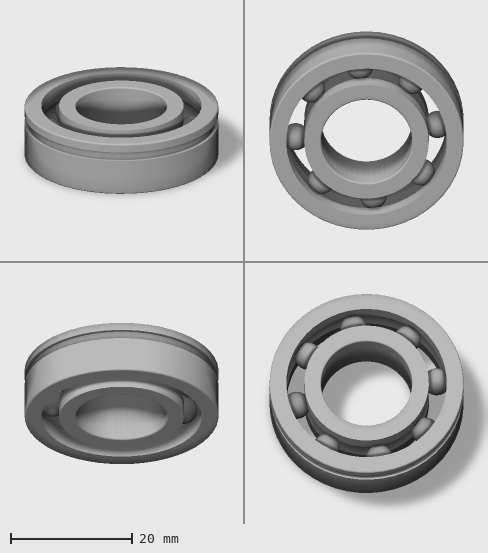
import cadquery as cq

outer_diameter = 32.0
outer_ring_bore = 26.45
inner_ring_diameter = 20.55
bore_diameter = 15.0
width = 9.0
edge_radius = 0.3

snap_groove_diameter = 30.9
snap_groove_width = 1.55
snap_groove_depth_from_top = 1.47

ball_count = 8
ball_diameter = 4.48
ball_radius = ball_diameter / 2
pitch_radius = (outer_ring_bore + inner_ring_diameter) / 4


def make_ring(outside, inside, height):
    """Plain ring centred on the origin."""
    return (
        cq.Workplane("XY", origin=(0, 0, -height / 2))
        .circle(outside / 2)
        .circle(inside / 2)
        .extrude(height)
    )


def make_raceway():
    """Torus swept by the balls; it cuts the raceway into each ring."""
    return (
        cq.Workplane("XZ")
        .center(pitch_radius, 0)
        .circle(ball_radius)
        .revolve(360, (-pitch_radius, 0), (-pitch_radius, 1))
    )


def make_outer_ring():
    ring = make_ring(outer_diameter, outer_ring_bore, width)
    outer_rims = cq.selectors.RadiusNthSelector(-1)
    ring = ring.edges(outer_rims).fillet(edge_radius)
    groove_center = width / 2 - snap_groove_depth_from_top - snap_groove_width / 2
    snap_groove = make_ring(outer_diameter, snap_groove_diameter, snap_groove_width)
    ring = ring.cut(snap_groove.translate((0, 0, groove_center)))
    return ring.cut(make_raceway())


def make_inner_ring():
    ring = make_ring(inner_ring_diameter, bore_diameter, width)
    bore_rims = cq.selectors.RadiusNthSelector(0)
    ring = ring.edges(bore_rims).fillet(edge_radius)
    return ring.cut(make_raceway())


def make_balls():
    """Balls evenly spaced on the pitch circle, the first one on +X."""
    balls = []
    for index in range(ball_count):
        ball = cq.Workplane("XY").sphere(ball_radius).translate((pitch_radius, 0, 0))
        balls.append(ball.rotate((0, 0, 0), (0, 0, 1), index * 360 / ball_count).val())
    return balls


outer_ring = make_outer_ring()
inner_ring = make_inner_ring()
balls = make_balls()

result = cq.Compound.makeCompound([outer_ring.val(), inner_ring.val(), *balls])